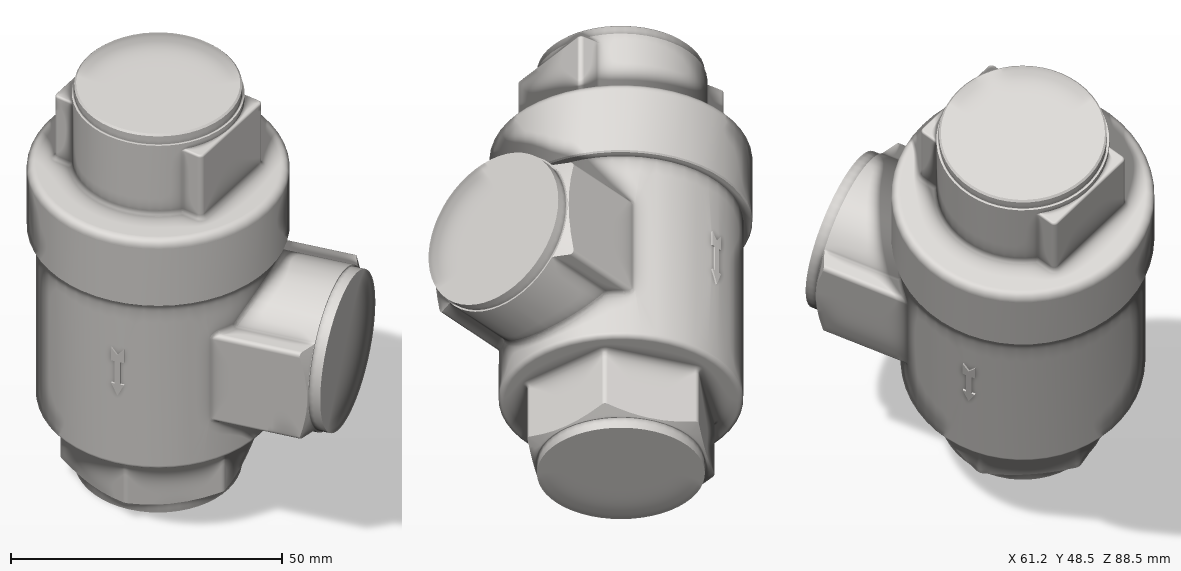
import cadquery as cq
import math

TOTAL_HEIGHT = 88.5
LIP_LENGTH = 2.2
HEX_BOTTOM = LIP_LENGTH
BODY_BOTTOM = 15.5
COLLAR_BOTTOM = 55.05
COLLAR_TOP = 70.3
WRENCH_PAD_TOP = 85.0
NECK_TOP = TOTAL_HEIGHT - LIP_LENGTH

BODY_RADIUS = 22.6
COLLAR_RADIUS = 24.25
NECK_RADIUS = 15.9
PORT_RADIUS = 15.8
LIP_RADIUS = 15.5

ACROSS_FLATS = 32.0
HEX_CORNER_FILLET = 1.1

TURNING_ANGLE = 30.0
TURNED_FACE_RADIUS = 15.75

PAD_ANGLE = -15.0
PAD_DISTANCE = 16.5
PAD_WIDTH = 20.2
PAD_CORNER_FILLET = 0.9
PAD_TOP_FILLET = 0.4

PORT_AXIS_HEIGHT = 35.2
PORT_END = 37.0
PORT_SHOULDER = PORT_END - LIP_LENGTH
PORT_FLAT_WIDTH = PAD_WIDTH
PORT_FLAT_CORNER_FILLET = 0.9

ROOT_FILLET = 0.8
FLANK_ROOT_FILLET = 0.7
COLLAR_TOP_FILLET = 1.6
COLLAR_BOTTOM_CHAMFER = 0.3
BODY_BOTTOM_FILLET = 1.0
LIP_CHAMFER = 0.35

ARROW_HEIGHT = 0.35
ARROW_TOP = 43.2
ARROW_NOTCH = 41.7
ARROW_TAIL_BOTTOM = 40.2
ARROW_HEAD_TOP = 35.0
ARROW_TIP = 32.2
ARROW_HALF_WIDTH = 1.2
ARROW_SHAFT_HALF_WIDTH = 0.5

OVERLAP = 1.8
PICK_MARGIN = 0.1


def cylinder(radius, bottom, top):
    """Upright cylinder on the main axis between two heights."""
    return cq.Workplane("XY").workplane(offset=bottom).circle(radius).extrude(top - bottom)


def turned_envelope(length):
    """Round bar along +Z whose lower end is a cone; it trims the corners of a prism."""
    outer_radius = BODY_RADIUS
    cone_height = (outer_radius - TURNED_FACE_RADIUS) * math.tan(math.radians(TURNING_ANGLE))
    return (
        cq.Workplane("XZ")
        .lineTo(TURNED_FACE_RADIUS, 0)
        .lineTo(outer_radius, cone_height)
        .lineTo(outer_radius, length)
        .lineTo(0, length)
        .close()
        .revolve(360, (0, 0, 0), (0, 1, 0))
    )


def bar_with_pads(bar_radius, pad_distance, pad_width, corner_fillet, bottom, top, trim=None):
    """Upright round bar with two flat pads facing -X and +X, rounded where they leave the bar."""
    pads = (
        cq.Workplane("XY")
        .workplane(offset=bottom)
        .rect(2 * pad_distance, pad_width)
        .extrude(top - bottom)
        .edges("|Z")
        .fillet(corner_fillet)
    )
    if trim is not None:
        pads = pads.intersect(trim)
    bar = cylinder(bar_radius, bottom, top).union(pads)

    flank = pad_width / 2
    reach = math.sqrt(bar_radius**2 - flank**2)
    for x in (-reach, reach):
        for y in (-flank, flank):
            inner_corner = cq.selectors.NearestToPointSelector((x, y, (bottom + top) / 2))
            bar = bar.edges(inner_corner).fillet(FLANK_ROOT_FILLET)
    return bar


def make_body():
    barrel = cylinder(BODY_RADIUS, BODY_BOTTOM, COLLAR_BOTTOM + OVERLAP)
    return barrel.faces("<Z").edges().fillet(BODY_BOTTOM_FILLET)


def make_collar():
    collar = cylinder(COLLAR_RADIUS, COLLAR_BOTTOM, COLLAR_TOP)
    collar = collar.faces(">Z").edges().fillet(COLLAR_TOP_FILLET)
    return collar.faces("<Z").edges().chamfer(COLLAR_BOTTOM_CHAMFER)


def make_hexagon():
    """Hexagon with flats facing -X and +X, sunk into the body."""
    length = BODY_BOTTOM + OVERLAP - HEX_BOTTOM
    across_corners = ACROSS_FLATS / math.cos(math.radians(30))
    prism = (
        cq.Workplane("XY")
        .transformed(rotate=(0, 0, 30))
        .polygon(6, across_corners)
        .extrude(length)
        .edges("|Z")
        .fillet(HEX_CORNER_FILLET)
    )
    return prism.intersect(turned_envelope(length)).translate((0, 0, HEX_BOTTOM))


def make_neck():
    """Round neck with two opposite wrench pads, sunk into the collar."""
    bottom = COLLAR_TOP - OVERLAP
    padded = bar_with_pads(
        NECK_RADIUS, PAD_DISTANCE, PAD_WIDTH, PAD_CORNER_FILLET, bottom, WRENCH_PAD_TOP
    )
    padded = padded.faces(">Z").edges().fillet(PAD_TOP_FILLET)
    padded = padded.rotate((0, 0, 0), (0, 0, 1), PAD_ANGLE)
    return padded.union(cylinder(NECK_RADIUS, bottom, NECK_TOP))


def make_port():
    """Side port with flats facing -Y and +Y, built mouth down and then laid along +X."""
    port = bar_with_pads(
        PORT_RADIUS,
        ACROSS_FLATS / 2,
        PORT_FLAT_WIDTH,
        PORT_FLAT_CORNER_FILLET,
        0,
        PORT_SHOULDER,
        trim=turned_envelope(PORT_SHOULDER),
    )
    port = port.rotate((0, 0, 0), (0, 0, 1), 90)
    port = port.rotate((0, 0, 0), (0, 1, 0), -90)
    return port.translate((PORT_SHOULDER, 0, PORT_AXIS_HEIGHT))


def make_lips():
    """Short reduced ends on the hexagon, the neck and the port."""
    bottom = cylinder(LIP_RADIUS, 0, HEX_BOTTOM + OVERLAP)
    top = cylinder(LIP_RADIUS, NECK_TOP - OVERLAP, TOTAL_HEIGHT)
    top = top.faces(">Z").edges().chamfer(LIP_CHAMFER)
    side = (
        cq.Workplane("YZ", origin=(PORT_SHOULDER - OVERLAP, 0, PORT_AXIS_HEIGHT))
        .circle(LIP_RADIUS)
        .extrude(LIP_LENGTH + OVERLAP)
    )
    return bottom.union(top).union(side)


def make_arrows():
    """Arrows pointing down on both sides, raised evenly above the body."""
    right_side = [
        (ARROW_HALF_WIDTH, ARROW_TOP),
        (ARROW_HALF_WIDTH, ARROW_TAIL_BOTTOM),
        (ARROW_SHAFT_HALF_WIDTH, ARROW_TAIL_BOTTOM),
        (ARROW_SHAFT_HALF_WIDTH, ARROW_HEAD_TOP),
        (ARROW_HALF_WIDTH, ARROW_HEAD_TOP),
    ]
    left_side = [(-x, z) for x, z in reversed(right_side)]
    outline = [(0, ARROW_NOTCH)] + right_side + [(0, ARROW_TIP)] + left_side
    through = cq.Workplane("XZ").polyline(outline).close().extrude(COLLAR_RADIUS, both=True)
    outer = cylinder(BODY_RADIUS + ARROW_HEIGHT, ARROW_TIP, ARROW_TOP)
    inner = cylinder(BODY_RADIUS - OVERLAP, ARROW_TIP, ARROW_TOP)
    return through.intersect(outer.cut(inner))


def fillet_root(part, height, reach):
    """Round the inner edges at one height that lie within a distance from the main axis."""
    root = cq.selectors.BoxSelector(
        (-reach, -reach, height - PICK_MARGIN),
        (reach, reach, height + PICK_MARGIN),
        boundingbox=True,
    )
    return part.edges(root).fillet(ROOT_FILLET)


def fillet_port_root(part):
    """Round the inner edges where the port grows out of the body wall."""
    half_width = ACROSS_FLATS / 2 + PICK_MARGIN
    nearest = math.sqrt(BODY_RADIUS**2 - half_width**2) - PICK_MARGIN
    root = cq.selectors.BoxSelector(
        (nearest, -half_width, PORT_AXIS_HEIGHT - half_width),
        (BODY_RADIUS + PICK_MARGIN, half_width, PORT_AXIS_HEIGHT + half_width),
        boundingbox=True,
    )
    return part.edges(root).fillet(ROOT_FILLET)


result = make_body().union(make_port())
result = fillet_port_root(result)
result = result.union(make_hexagon())
result = fillet_root(result, BODY_BOTTOM, BODY_RADIUS - 2 * BODY_BOTTOM_FILLET)
result = result.union(make_collar()).union(make_neck())
result = fillet_root(result, COLLAR_TOP, COLLAR_RADIUS - 2 * COLLAR_TOP_FILLET)
result = result.union(make_lips()).union(make_arrows()).solids()